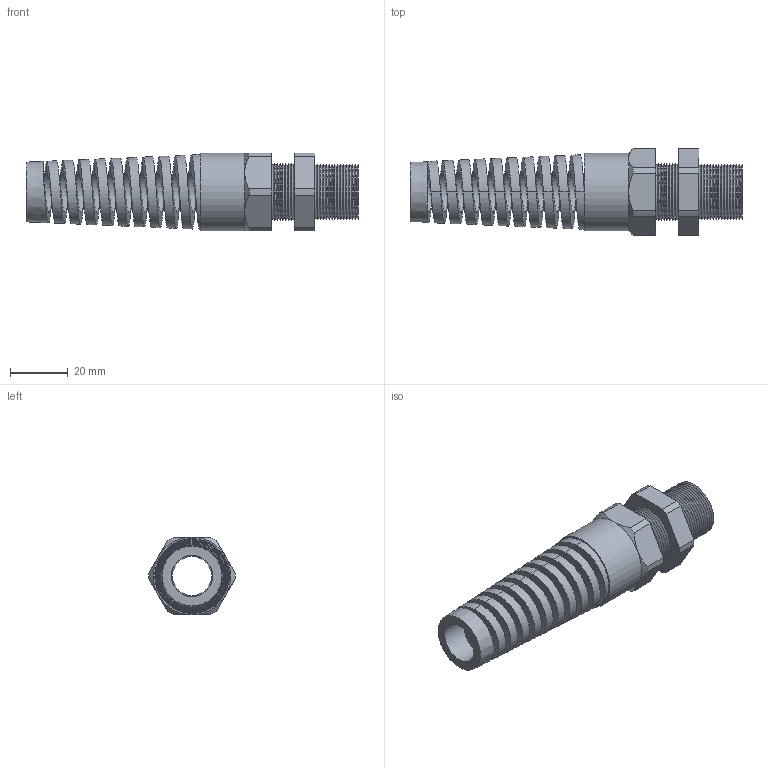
import cadquery as cq
import math

collar_end = 6.05
housing_start = 60.4
hex_start = 75.8
overall_length = 115.06
entry_thread_length = 15.0
flange_length = 7.0
cap_thread_length = 8.0
flange_end = overall_length - entry_thread_length
flange_start = flange_end - flange_length
cap_end = flange_start - cap_thread_length

across_flats = 26.92
across_corners = 29.88
corner_radius = across_corners / 2
housing_radius = 13.45

collar_tip_radius = 10.36
spiral_large_radius = 12.95
bore_radius = 7.15
spiral_pitch = 5.55
groove_bore_width = 1.9
groove_outer_width = 2.5
groove_overrun = 2.0
coil_crossing = 8.94
groove_crossing = coil_crossing + spiral_pitch / 2

thread_pitch = 1.0
thread_depth = 0.7
cap_thread_radius = 10.0
entry_thread_radius = 9.7
spigot_length = 12.0
gland_bore_radius = 6.8

spiral_slope = (spiral_large_radius - collar_tip_radius) / housing_start
collar_end_radius = collar_tip_radius + spiral_slope * collar_end


def revolve_about_x(points):
    """Solid of revolution about the X axis from (x, radius) points."""
    return cq.Workplane("XZ").polyline(points).close().revolve(360, (0, 0, 0), (1, 0, 0))


def cylinder_x(radius, start, end):
    """Solid cylinder along X."""
    return revolve_about_x([(start, 0), (start, radius), (end, radius), (end, 0)])


def hexagon_x(start, end):
    """Hexagonal prism along X with two flats facing +Z and -Z."""
    corner_diameter = across_flats / math.cos(math.pi / 6)
    return cq.Workplane("YZ", origin=(start, 0, 0)).polygon(6, corner_diameter).extrude(end - start)


def groove_half_width(radius):
    """Half the width of the groove, which widens evenly from the bore outward."""
    flare = (groove_outer_width - groove_bore_width) / (spiral_large_radius - bore_radius)
    return (groove_bore_width + flare * (radius - bore_radius)) / 2


def make_groove_turn():
    """One turn of the helical slot about X, starting at the origin with its centre on the +Z side."""
    inner_radius = bore_radius - groove_overrun
    outer_radius = spiral_large_radius + groove_overrun
    inner_half = groove_half_width(inner_radius)
    outer_half = groove_half_width(outer_radius)
    helix = cq.Wire.makeHelix(spiral_pitch, spiral_pitch, inner_radius)
    section = cq.Workplane("XZ").polyline([
        (inner_radius, -inner_half),
        (outer_radius, -outer_half),
        (outer_radius, outer_half),
        (inner_radius, inner_half),
    ]).close()
    turn = section.sweep(cq.Workplane(obj=helix), isFrenet=True)
    return turn.rotate((0, 0, 0), (0, 1, 0), 90).rotate((0, 0, 0), (1, 0, 0), 180)


def make_spiral():
    """Conical sleeve cut into coils by the helical groove, which reaches the bore."""
    spiral = revolve_about_x([
        (collar_end, bore_radius),
        (collar_end, collar_end_radius),
        (housing_start, spiral_large_radius),
        (housing_start, bore_radius),
    ])
    groove_turn = make_groove_turn()
    groove_start = groove_crossing - 2 * spiral_pitch
    turn_count = math.ceil((housing_start - groove_start) / spiral_pitch) + 1
    for turn in range(turn_count):
        spiral = spiral.cut(groove_turn.translate((groove_start + turn * spiral_pitch, 0, 0)))
    return spiral


def make_cap():
    """Cap nut with the bend-protection spiral, bored through and recessed for the gland spigot."""
    chamfer_length = corner_radius - housing_radius
    collar = revolve_about_x([
        (0, bore_radius),
        (0, collar_tip_radius),
        (collar_end, collar_end_radius),
        (collar_end, bore_radius),
    ])
    housing = cylinder_x(housing_radius, housing_start, hex_start)
    nut_blank = revolve_about_x([
        (hex_start, 0),
        (hex_start, housing_radius),
        (hex_start + chamfer_length, corner_radius),
        (cap_end, corner_radius),
        (cap_end, 0),
    ])
    nut = nut_blank.intersect(hexagon_x(hex_start, cap_end))
    head = housing.union(nut).cut(cylinder_x(bore_radius, housing_start, cap_end))
    head = head.cut(cylinder_x(cap_thread_radius - thread_depth, cap_end - spigot_length, cap_end))
    return collar.union(make_spiral()).union(head)


def make_thread(crest_radius, start, length):
    """Ring-shaped V threads with a crest at each end."""
    root_radius = crest_radius - thread_depth
    points = [(start, 0), (start, crest_radius)]
    for ring in range(round(length / thread_pitch)):
        crest_x = start + ring * thread_pitch
        points.append((crest_x + thread_pitch / 2, root_radius))
        points.append((crest_x + thread_pitch, crest_radius))
    points.append((start + length, 0))
    return revolve_about_x(points)


def make_gland():
    """Gland body: spigot inside the cap, thread, hexagonal flange and entry thread, bored through."""
    flange = hexagon_x(flange_start, flange_end)
    flange = flange.intersect(cylinder_x(corner_radius, flange_start, flange_end))
    spigot_start = cap_end - spigot_length
    spigot = cylinder_x(cap_thread_radius - thread_depth, spigot_start, cap_end)
    body = flange.union(spigot)
    body = body.union(make_thread(cap_thread_radius, cap_end, cap_thread_length))
    body = body.union(make_thread(entry_thread_radius, flange_end, entry_thread_length))
    return body.cut(cylinder_x(gland_bore_radius, spigot_start, overall_length))


cap = make_cap().solids()
gland = make_gland().solids()
result = cq.Compound.makeCompound([cap.val(), gland.val()])